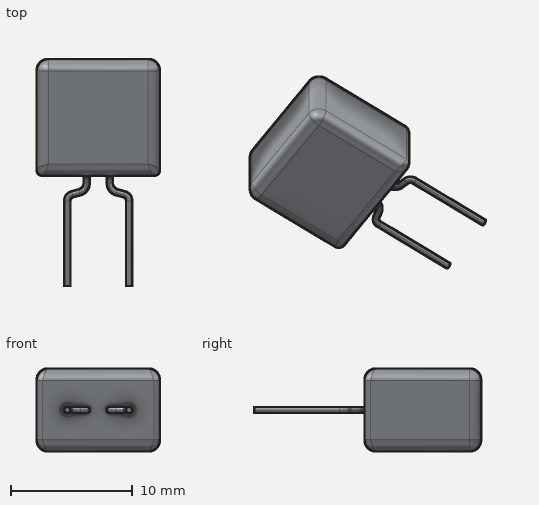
import cadquery as cq
import math

WIDTH = 10.16
HEIGHT = 6.85
TOTAL_LENGTH = 18.68
HOUSING_DEPTH = 9.62
EDGE_RADIUS = 0.99
FRONT_SIDE_RADIUS = 0.5

WIRE_DIAMETER = 0.52
ROOT_SPACING = 1.9
TIP_SPACING = 5.08
ROOT_LENGTH = 0.6
ROOT_BEND_RADIUS = 0.78
TIP_BEND_RADIUS = 0.56
BEND_ANGLE = math.radians(75)
LEAD_REACH = TOTAL_LENGTH - HOUSING_DEPTH


def make_housing():
    block = cq.Workplane("XY").box(WIDTH, HOUSING_DEPTH, HEIGHT).translate((0, HOUSING_DEPTH / 2, 0))
    front_sides = block.edges("|Z").edges("<Y")
    block = front_sides.fillet(FRONT_SIDE_RADIUS)
    block = block.edges("|Z").edges(">Y").fillet(EDGE_RADIUS)
    return block.faces("<Z or >Z").edges().fillet(EDGE_RADIUS)


def bend_offset(radius, angle):
    """Sideways and forward travel of an arc that starts out pointing forward."""
    return radius * (1 - math.cos(angle)), radius * math.sin(angle)


def make_lead(side):
    """One lead; side is -1 for the -X lead and +1 for the +X lead."""
    root_x = ROOT_SPACING / 2
    tip_x = TIP_SPACING / 2

    root_side, root_forward = bend_offset(ROOT_BEND_RADIUS, BEND_ANGLE)
    root_mid_side, root_mid_forward = bend_offset(ROOT_BEND_RADIUS, BEND_ANGLE / 2)
    tip_side, tip_forward = bend_offset(TIP_BEND_RADIUS, BEND_ANGLE)
    tip_mid_side, tip_mid_forward = bend_offset(TIP_BEND_RADIUS, BEND_ANGLE / 2)

    slant_side = tip_x - root_x - root_side - tip_side
    slant_forward = slant_side / math.tan(BEND_ANGLE)
    bends_end = ROOT_LENGTH + root_forward + slant_forward + tip_forward

    def point(x, forward):
        return (side * x, -forward)

    path = (
        cq.Workplane("XY")
        .moveTo(*point(root_x, 0))
        .lineTo(*point(root_x, ROOT_LENGTH))
        .threePointArc(
            point(root_x + root_mid_side, ROOT_LENGTH + root_mid_forward),
            point(root_x + root_side, ROOT_LENGTH + root_forward),
        )
        .lineTo(*point(tip_x - tip_side, bends_end - tip_forward))
        .threePointArc(
            point(tip_x - tip_mid_side, bends_end - tip_mid_forward),
            point(tip_x, bends_end),
        )
        .lineTo(*point(tip_x, LEAD_REACH))
    )
    return cq.Workplane("XZ").center(side * root_x, 0).circle(WIRE_DIAMETER / 2).sweep(path)


housing = make_housing()
leads = [make_lead(side) for side in (-1, 1)]

result = cq.Compound.makeCompound([housing.val(), *[lead.val() for lead in leads]])